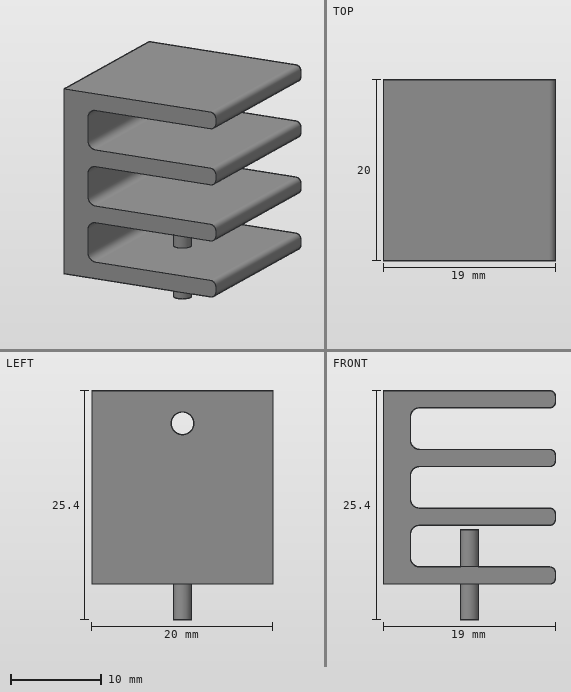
import cadquery as cq

sink_length = 19.0
sink_width = 20.0
base_thickness = 3.0
fin_count = 4
fin_thickness = 1.93
fin_pitch = 6.5
root_radius = 1.0
tip_radius = 0.65
sink_height = (fin_count - 1) * fin_pitch + fin_thickness

mount_hole_diameter = 2.48
mount_hole_drop = 3.63

pin_diameter = 2.0
pin_length = 10.0
pin_overhang = 3.95
pin_x = sink_length / 2


def make_channel(floor_z):
    """Rounded-root channel between two fins, open at the fin tips."""
    channel_length = sink_length - base_thickness
    channel_height = fin_pitch - fin_thickness
    return (
        cq.Workplane("XY")
        .box(channel_length, sink_width, channel_height, centered=(False, True, False))
        .edges("|Y and <X")
        .fillet(root_radius)
        .translate((base_thickness, 0, floor_z))
    )


def make_pin():
    """Straight round pin, hanging below the heat sink."""
    return (
        cq.Workplane("XY", origin=(pin_x, 0, -pin_overhang))
        .circle(pin_diameter / 2)
        .extrude(pin_length)
    )


def make_heat_sink(pin):
    """Finned block with a mounting hole and a matching hole for the pin."""
    sink = cq.Workplane("XY").box(
        sink_length, sink_width, sink_height, centered=(False, True, False)
    )
    for index in range(fin_count - 1):
        sink = sink.cut(make_channel(index * fin_pitch + fin_thickness))
    sink = sink.edges("|Y and >X").fillet(tip_radius)

    mount_hole = (
        cq.Workplane("YZ", origin=(0, 0, sink_height - mount_hole_drop))
        .circle(mount_hole_diameter / 2)
        .extrude(base_thickness + root_radius)
    )
    return sink.cut(mount_hole).cut(pin)


pin = make_pin()
heat_sink = make_heat_sink(pin)

result = cq.Compound.makeCompound([heat_sink.val(), pin.val()])